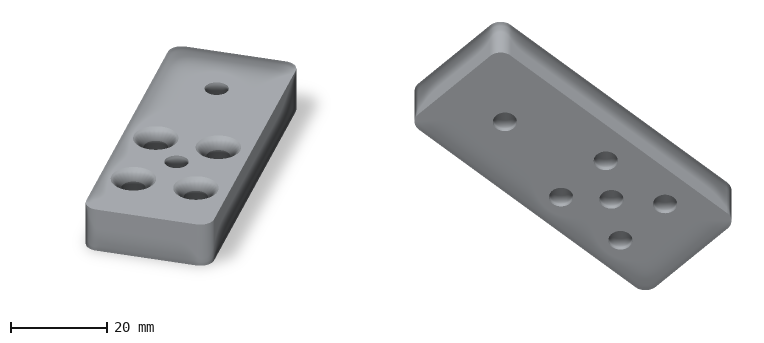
import cadquery as cq

width = 27.7
length = 68.0
thickness = 10.0
corner_radius = 3.0

hole_diameter = 5.0
plain_hole_rear_y = 19.5
plain_hole_front_y = -11.0

sink_diameter = 9.45
sink_angle = 90.0
sink_spacing_x = 13.5
sink_spacing_y = 17.0
sink_pattern_y = -11.5


def make_plate():
    plate = cq.Workplane("XY").box(width, length, thickness, centered=(True, True, False))
    return plate.edges("|Z").fillet(corner_radius)


def drill_plain_holes(plate):
    centers = [(0, plain_hole_rear_y), (0, plain_hole_front_y)]
    top = plate.faces(">Z").workplane(origin=(0, 0, thickness))
    return top.pushPoints(centers).hole(hole_diameter)


def drill_countersunk_holes(plate):
    top = plate.faces(">Z").workplane(origin=(0, sink_pattern_y, thickness))
    centers = top.rarray(sink_spacing_x, sink_spacing_y, 2, 2)
    return centers.cskHole(hole_diameter, sink_diameter, sink_angle)


result = drill_countersunk_holes(drill_plain_holes(make_plate()))